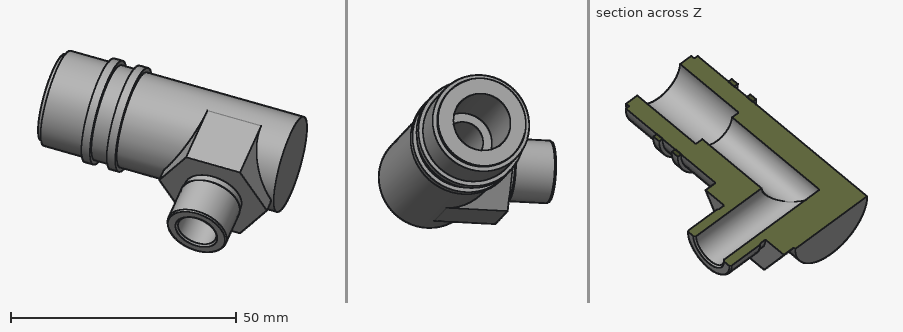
import cadquery as cq
import math


length = 56.0
barrel_diameter = 22.0
nose_diameter = 20.0
nose_length = 1.0

outlet_x = 42.8
hex_face_distance = 14.0
hex_across_corners = barrel_diameter / math.cos(math.radians(30))

spigot_diameter = 14.0
spigot_end_distance = 25.0
neck_diameter = 13.5
neck_length = 1.5
spigot_chamfer_width = (spigot_diameter - neck_diameter) / 2
neck_taper_length = spigot_chamfer_width
end_chamfer_length = 0.45

passage_diameter = 9.0
mouth_chamfer = 0.45
socket_diameter = 13.0

ring_diameter = 24.0
ring_width = 2.0
first_ring_x = 11.0
ring_pitch = 6.0
ring_count = 2

socket_depth = first_ring_x + (ring_count - 1) * ring_pitch + ring_width


def rod_along_x(start_x, rod_length, diameter):
    """Solid rod on the barrel axis."""
    return cq.Workplane("YZ", origin=(start_x, 0, 0)).circle(diameter / 2).extrude(rod_length)


def make_outer_barrel():
    nose = rod_along_x(0, nose_length, nose_diameter)
    barrel = rod_along_x(nose_length, length - nose_length, barrel_diameter)
    return nose.union(barrel)


def make_hexagon():
    """Hexagonal block from the barrel axis out to the wrench face, corners along X."""
    return (
        cq.Workplane("XZ", origin=(outlet_x, 0, 0))
        .polygon(6, hex_across_corners)
        .extrude(hex_face_distance)
    )


def make_spigot():
    """Solid of revolution about the outlet axis; the profile is (radius, y)."""
    neck_radius = neck_diameter / 2
    spigot_radius = spigot_diameter / 2
    neck_end = hex_face_distance + neck_length
    profile = [
        (0, -hex_face_distance),
        (neck_radius, -hex_face_distance),
        (neck_radius, -neck_end),
        (spigot_radius, -(neck_end + neck_taper_length)),
        (spigot_radius, -(spigot_end_distance - end_chamfer_length)),
        (spigot_radius - spigot_chamfer_width, -spigot_end_distance),
        (0, -spigot_end_distance),
    ]
    return (
        cq.Workplane("XY", origin=(outlet_x, 0, 0))
        .polyline(profile)
        .close()
        .revolve(360, (0, 0, 0), (0, 1, 0))
    )


def make_passage():
    """Round passage along the barrel, turning into the outlet with a mitred corner."""
    path = cq.Workplane("XY").polyline([(0, 0), (outlet_x, 0), (outlet_x, -spigot_end_distance)])
    return cq.Workplane("YZ").circle(passage_diameter / 2).sweep(path, transition="right")


def make_mouth_countersink():
    """Cone that chamfers the passage at the end of the spigot."""
    passage_radius = passage_diameter / 2
    cone = cq.Solid.makeCone(
        passage_radius + mouth_chamfer,
        passage_radius,
        mouth_chamfer,
        pnt=cq.Vector(outlet_x, -spigot_end_distance, 0),
        dir=cq.Vector(0, 1, 0),
    )
    return cq.Workplane(cone)


def make_housing():
    outside = make_outer_barrel().union(make_hexagon()).union(make_spigot())
    socket = rod_along_x(0, socket_depth, socket_diameter)
    return outside.cut(make_passage()).cut(socket).cut(make_mouth_countersink())


def make_ring(start_x):
    """Flat band fitted on the outside of the barrel."""
    band = rod_along_x(start_x, ring_width, ring_diameter)
    return band.cut(rod_along_x(start_x, ring_width, barrel_diameter))


housing = make_housing()
rings = [make_ring(first_ring_x + index * ring_pitch) for index in range(ring_count)]

result = cq.Compound.makeCompound([housing.solids().val(), *[ring.solids().val() for ring in rings]])